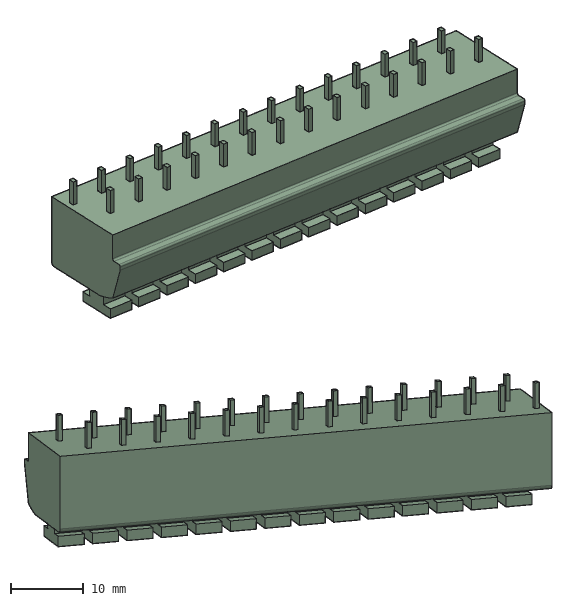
import cadquery as cq

length = 71.5
body_height = 10.95
body_width = 13.4
lip_reach = 15.0
bottom_fillet = 0.61

lip_top = 6.85
lip_edge_bottom = 6.1
lip_root = 0.85
lip_fillet = 0.3
curve_start = 10.65
curve_middle = (12.1, 0.39)

position_count = 14
position_pitch = 5.0

pin_width = 0.85
pin_thickness = 0.65
pin_length = 3.65
left_row_x = 3.2
row_spacing = 5.0
left_row_start = 1.2
row_stagger = position_pitch / 2

foot_x = 8.65
foot_start = 2.85
foot_length = 3.8
stem_width = 3.0
stem_height = 2.0
flange_width = 6.0
flange_height = 1.5


def fillet_long_edge(block, x, z, radius):
    """Round the lengthwise edge that runs through (x, z)."""
    edge = cq.selectors.NearestToPointSelector((x, length / 2, z))
    return block.edges(edge).fillet(radius)


def make_body():
    """Block with a tapering lip on +X, running from Y = 0 to Y = length."""
    profile = (
        cq.Workplane("XZ")
        .lineTo(curve_start, 0)
        .threePointArc(curve_middle, (body_width, lip_root))
        .lineTo(lip_reach, lip_edge_bottom)
        .lineTo(lip_reach, lip_top)
        .lineTo(body_width, lip_top)
        .lineTo(body_width, body_height)
        .lineTo(0, body_height)
        .close()
    )
    block = profile.extrude(-length)
    block = fillet_long_edge(block, 0, 0, bottom_fillet)
    block = fillet_long_edge(block, body_width, lip_top, lip_fillet)
    return fillet_long_edge(block, lip_reach, lip_top, lip_fillet)


def position_points(x, first_y):
    """One point per contact position, in a row parallel to Y."""
    return [(x, first_y + i * position_pitch) for i in range(position_count)]


def make_pins():
    """Rectangular pins standing on top of the block."""
    left_row = position_points(left_row_x, left_row_start)
    right_row = position_points(left_row_x + row_spacing, left_row_start + row_stagger)
    return (
        cq.Workplane("XY", origin=(0, 0, body_height))
        .pushPoints(left_row + right_row)
        .rect(pin_width, pin_thickness)
        .extrude(pin_length)
    )


def make_feet():
    """Row of T-shaped feet: a narrow stem above a wider flange."""
    foot_points = position_points(foot_x, foot_start)
    stems = (
        cq.Workplane("XY")
        .pushPoints(foot_points)
        .rect(stem_width, foot_length)
        .extrude(-stem_height)
    )
    flanges = (
        cq.Workplane("XY", origin=(0, 0, -stem_height))
        .pushPoints(foot_points)
        .rect(flange_width, foot_length)
        .extrude(-flange_height)
    )
    return stems.union(flanges)


result = make_body().union(make_pins()).union(make_feet())